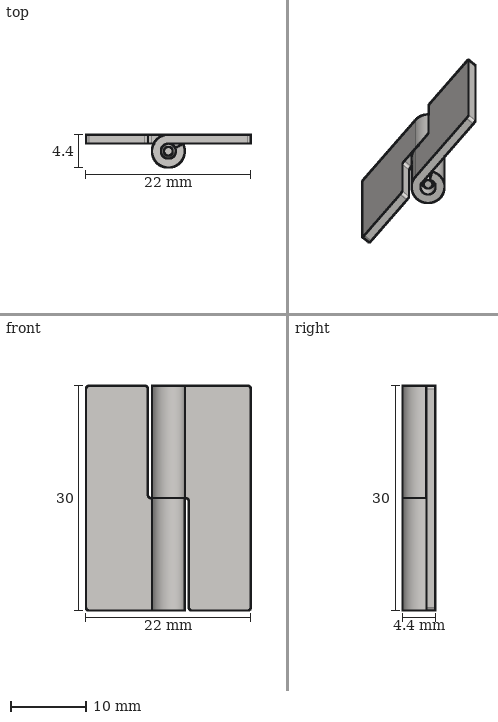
import cadquery as cq
import math

leaf_height = 30.0
hinge_width = 22.0
barrel_diameter = 4.4
leaf_thickness = 1.2

notch_gap = 0.5
corner_radius = 0.45
curl_end_angle = 26.0

pin_recess = 1.5
pin_taper_depth = 0.42
pin_taper_length = 2.0

outer_radius = barrel_diameter / 2
bore_radius = outer_radius - leaf_thickness
half_width = hinge_width / 2
half_height = leaf_height / 2
notch_edge = outer_radius + notch_gap
pin_length = leaf_height - 2 * pin_recess


def polar(radius, degrees):
    """Point in the XY plane at a radius and angle from the hinge axis."""
    angle = math.radians(degrees)
    return (radius * math.cos(angle), radius * math.sin(angle))


def knuckle():
    """Upper half of the barrel: a strip rolled round the pin and running into the plate."""
    return (
        cq.Workplane("XY")
        .moveTo(notch_edge, outer_radius)
        .lineTo(0, outer_radius)
        .threePointArc((-outer_radius, 0), polar(outer_radius, curl_end_angle))
        .lineTo(*polar(bore_radius, curl_end_angle))
        .threePointArc((-bore_radius, 0), (0, bore_radius))
        .lineTo(notch_edge, bore_radius)
        .close()
        .extrude(half_height)
    )


def plate():
    """Flat part of the leaf, with rounded outer corners."""
    return (
        cq.Workplane("XY")
        .box(half_width - notch_edge, leaf_thickness, leaf_height, centered=(False, False, True))
        .translate((notch_edge, bore_radius, 0))
        .edges("|Y")
        .edges(">X or (<X and <Z)")
        .fillet(corner_radius)
    )


def make_leaf():
    """Leaf on the +X side, with its knuckle on the upper half of the barrel."""
    leaf = plate().union(knuckle())
    notch_corner = cq.selectors.NearestToPointSelector((notch_edge, outer_radius - leaf_thickness / 2, 0))
    return leaf.edges("|Y").edges(notch_corner).fillet(corner_radius)


def make_pin():
    """Plain pin with long tapered ends, sunk into both ends of the barrel."""
    return (
        cq.Workplane("XY")
        .circle(bore_radius)
        .extrude(pin_length / 2, both=True)
        .faces("|Z")
        .edges()
        .chamfer(pin_taper_length, pin_taper_depth)
    )


leaves = [make_leaf().rotate((0, 0, 0), (0, 1, 0), turn) for turn in (0, 180)]
pin = make_pin()

result = cq.Compound.makeCompound([*(leaf.val() for leaf in leaves), pin.val()])